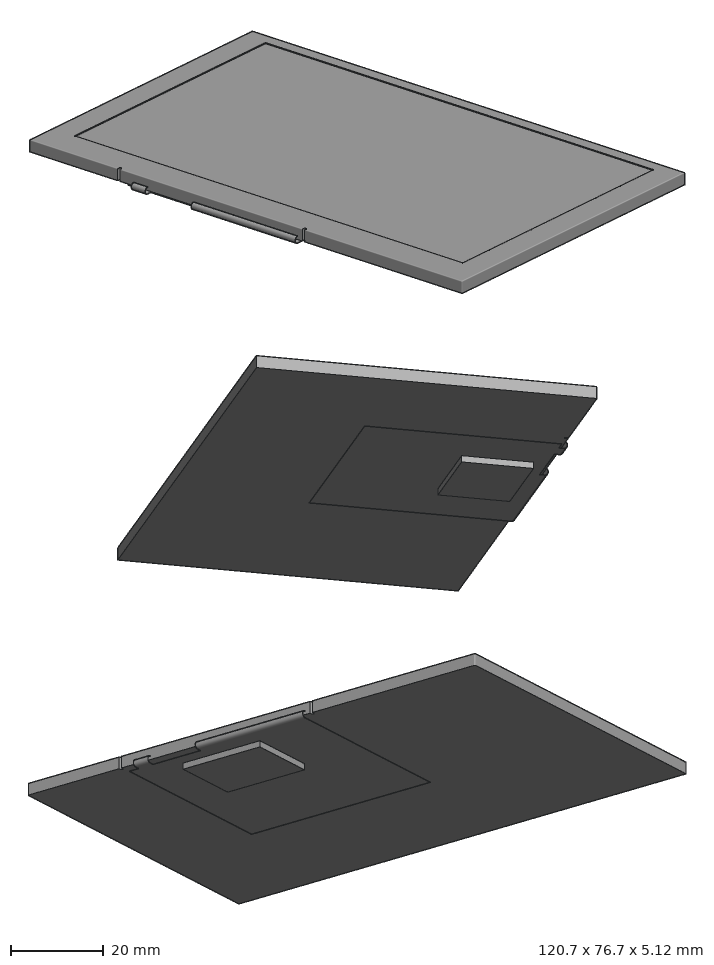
import cadquery as cq
import math

PANEL_LENGTH = 120.7
PANEL_WIDTH = 75.8
PANEL_THICKNESS = 2.85
EDGE_RADIUS = 0.23
PANEL_FRONT = -PANEL_WIDTH / 2
PANEL_BACK = PANEL_WIDTH / 2

WINDOW_LENGTH = 108.2
WINDOW_WIDTH = 65.0
WINDOW_BACK_MARGIN = 3.0
WINDOW_DEPTH = 0.25

SLIT_WIDTH = 0.6
SLIT_DEPTH = 0.8
SLIT_CENTRES_X = (-35.4, 16.1)

OVERALL_WIDTH = 76.71
OVERALL_HEIGHT = 5.12
LEG_REACH = OVERALL_WIDTH - PANEL_WIDTH
LEG_STUB = 0.1
BEND_FLAT = 0.1
BEND_RADIUS = LEG_REACH - LEG_STUB
TAIL_THICKNESS = 0.1
TAIL_LEFT = -33.7
TAIL_RIGHT = 14.5
TAIL_LENGTH = 44.9
TAIL_FRONT_SETBACK = 1.0
LEG_SPANS_X = ((-31.2, -27.3), (-14.5, TAIL_RIGHT))

BLOCK_LENGTH = 20.7
BLOCK_WIDTH = 16.0
BLOCK_HEIGHT = 1.45
BLOCK_LEFT = -21.6
BLOCK_FRONT_SETBACK = 4.2

BLOCK_BOTTOM = PANEL_THICKNESS - OVERALL_HEIGHT
TAIL_BOTTOM = BLOCK_BOTTOM + BLOCK_HEIGHT
LOWER_BEND_Z = TAIL_BOTTOM + BEND_RADIUS


def box_from_corner(x, y, z, length, width, height):
    """Box given by its lowest corner and its size."""
    return cq.Workplane("XY").box(length, width, height, centered=False).translate((x, y, z))


def relief_slit(centre_x):
    """Full-height slit cutter, open at the front wall and round at its inner end."""
    slit_radius = SLIT_WIDTH / 2
    round_start = PANEL_FRONT + SLIT_DEPTH - slit_radius
    return (
        cq.Workplane("XY")
        .moveTo(centre_x - slit_radius, PANEL_FRONT)
        .lineTo(centre_x - slit_radius, round_start)
        .threePointArc((centre_x, PANEL_FRONT + SLIT_DEPTH), (centre_x + slit_radius, round_start))
        .lineTo(centre_x + slit_radius, PANEL_FRONT)
        .close()
        .extrude(PANEL_THICKNESS)
    )


def make_panel():
    """Display panel with rounded edges, viewing window and relief slits."""
    panel = cq.Workplane("XY").box(PANEL_LENGTH, PANEL_WIDTH, PANEL_THICKNESS, centered=(True, True, False))
    panel = panel.edges("(|Z and <Y) or (>Z and (not >Y))").fillet(EDGE_RADIUS)
    window = box_from_corner(
        -WINDOW_LENGTH / 2,
        PANEL_BACK - WINDOW_BACK_MARGIN - WINDOW_WIDTH,
        PANEL_THICKNESS - WINDOW_DEPTH,
        WINDOW_LENGTH,
        WINDOW_WIDTH,
        WINDOW_DEPTH,
    )
    panel = panel.cut(window)
    for centre_x in SLIT_CENTRES_X:
        panel = panel.cut(relief_slit(centre_x))
    return panel


def bent_leg(left, right):
    """Strip that leaves the front wall, turns down through two quarter bends and runs back to the sheet."""
    inner_radius = BEND_RADIUS - TAIL_THICKNESS
    outer_diagonal = BEND_RADIUS * math.sqrt(0.5)
    inner_diagonal = inner_radius * math.sqrt(0.5)
    sheet_end = LEG_STUB + TAIL_FRONT_SETBACK
    return (
        cq.Workplane("YZ", origin=(left, PANEL_FRONT - LEG_STUB, LOWER_BEND_Z))
        .moveTo(LEG_STUB, BEND_FLAT + BEND_RADIUS)
        .lineTo(0, BEND_FLAT + BEND_RADIUS)
        .threePointArc((-outer_diagonal, BEND_FLAT + outer_diagonal), (-BEND_RADIUS, BEND_FLAT))
        .lineTo(-BEND_RADIUS, 0)
        .threePointArc((-outer_diagonal, -outer_diagonal), (0, -BEND_RADIUS))
        .lineTo(sheet_end, -BEND_RADIUS)
        .lineTo(sheet_end, -inner_radius)
        .lineTo(0, -inner_radius)
        .threePointArc((-inner_diagonal, -inner_diagonal), (-inner_radius, 0))
        .lineTo(-inner_radius, BEND_FLAT)
        .threePointArc((-inner_diagonal, BEND_FLAT + inner_diagonal), (0, BEND_FLAT + inner_radius))
        .lineTo(LEG_STUB, BEND_FLAT + inner_radius)
        .close()
        .extrude(right - left)
    )


def make_tail():
    """Flexible tail: flat sheet, bent legs and component block."""
    tail = box_from_corner(
        TAIL_LEFT,
        PANEL_FRONT + TAIL_FRONT_SETBACK,
        TAIL_BOTTOM,
        TAIL_RIGHT - TAIL_LEFT,
        TAIL_LENGTH - TAIL_FRONT_SETBACK,
        TAIL_THICKNESS,
    )
    for left, right in LEG_SPANS_X:
        tail = tail.union(bent_leg(left, right))
    block = box_from_corner(
        BLOCK_LEFT,
        PANEL_FRONT + BLOCK_FRONT_SETBACK,
        BLOCK_BOTTOM,
        BLOCK_LENGTH,
        BLOCK_WIDTH,
        BLOCK_HEIGHT,
    )
    return tail.union(block)


panel = make_panel()
flex_tail = make_tail()

result = cq.Compound.makeCompound([panel.val(), flex_tail.val()])